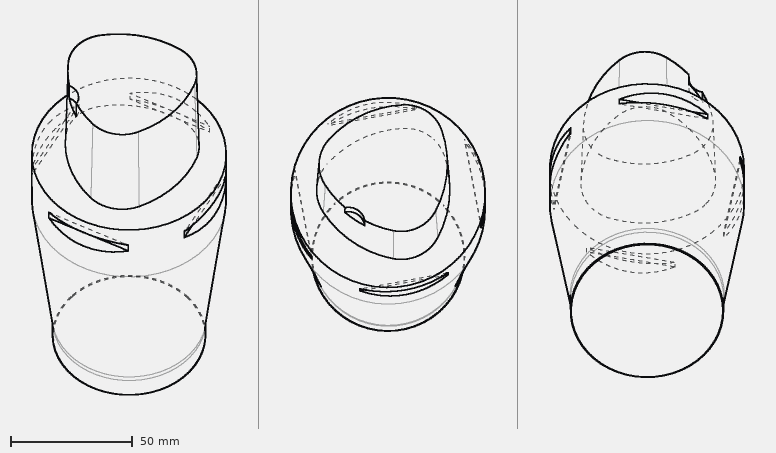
import cadquery as cq
import math

total_height = 168.0
shank_height = 48.0
collar_top = total_height - shank_height

collar_radius = 80.0 / 2
collar_bottom = 89.2
nose_height = 10.0
cone_end_radius = 31.8
cone_end_height = 12.8
nose_radius = 63.0 / 2
nose_chamfer = 0.3

lobe_reach = 29.4
side_reach = 25.4
side_arc_radius = 44.5
shank_inset = 1.0
lobe_count = 3
first_lobe_angle = -30.0

keyway_radius = 6.7
keyway_height = 8.2
keyway_floor = 22.0

slot_count = 4
first_slot_angle = 45.0
slot_floor = 35.5
slot_floor_width = 3.7
slot_flank_angle = 30.0
slot_height = 108.0
slot_length = 2 * collar_radius


def polar(radius, degrees):
    angle = math.radians(degrees)
    return cq.Vector(radius * math.cos(angle), radius * math.sin(angle))


def make_body():
    """Turned body: nose, narrow flare, cone and collar."""
    profile = [
        (0, 0),
        (nose_radius - nose_chamfer, 0),
        (nose_radius, nose_chamfer),
        (nose_radius, nose_height),
        (cone_end_radius, cone_end_height),
        (collar_radius, collar_bottom),
        (collar_radius, collar_top),
        (0, collar_top),
    ]
    return cq.Workplane("XZ").polyline(profile).close().revolve(360, (0, 0), (0, 1))


def shank_outline(height, inset):
    """Closed outline of six tangent arcs: a tight lobe and a shallow side, three times."""
    lobe_tip = lobe_reach - inset
    side_middle = side_reach - inset
    side_radius = side_arc_radius - inset

    side_offset = side_radius - side_middle
    gap = side_radius - lobe_tip
    lobe_offset = (side_offset**2 - gap**2) / (2 * gap - side_offset)

    side_center = polar(side_offset, first_lobe_angle + 360 / lobe_count)
    lobe_center = polar(lobe_offset, first_lobe_angle)
    joint = side_center + (lobe_center - side_center).normalized() * side_radius
    joint_radius = joint.Length
    joint_angle = math.degrees(math.atan2(joint.y, joint.x))
    half_lobe = first_lobe_angle - joint_angle

    pitch = 360 / lobe_count
    edges = []
    for i in range(lobe_count):
        lobe_angle = first_lobe_angle + i * pitch
        lobe_start = polar(joint_radius, lobe_angle - half_lobe)
        lobe_end = polar(joint_radius, lobe_angle + half_lobe)
        side_end = polar(joint_radius, lobe_angle + pitch - half_lobe)
        edges.append(cq.Edge.makeThreePointArc(lobe_start, polar(lobe_tip, lobe_angle), lobe_end))
        side_point = polar(side_middle, lobe_angle + pitch / 2)
        edges.append(cq.Edge.makeThreePointArc(lobe_end, side_point, side_end))
    return cq.Wire.assembleEdges(edges).translate(cq.Vector(0, 0, height))


def make_shank():
    base = shank_outline(collar_top, 0)
    top = shank_outline(total_height, shank_inset)
    return cq.Workplane(obj=cq.Solid.makeLoft([base, top], True))


def make_keyway():
    return (
        cq.Workplane("XY", origin=(0, -keyway_floor - keyway_radius, total_height - keyway_height))
        .circle(keyway_radius)
        .extrude(keyway_height)
    )


def make_slot():
    """Straight slot with a flat floor and flared flanks, running across the +X side."""
    half_floor = slot_floor_width / 2
    flare = (collar_radius - slot_floor) * math.tan(math.radians(slot_flank_angle))
    half_mouth = half_floor + flare
    section = [
        (slot_floor, slot_height - half_floor),
        (collar_radius, slot_height - half_mouth),
        (collar_radius, slot_height + half_mouth),
        (slot_floor, slot_height + half_floor),
    ]
    return cq.Workplane("XZ").polyline(section).close().extrude(slot_length / 2, both=True)


result = make_body().union(make_shank()).cut(make_keyway())

slot = make_slot()
for i in range(slot_count):
    turn = first_slot_angle + i * 360 / slot_count
    result = result.cut(slot.rotate((0, 0, 0), (0, 0, 1), turn))